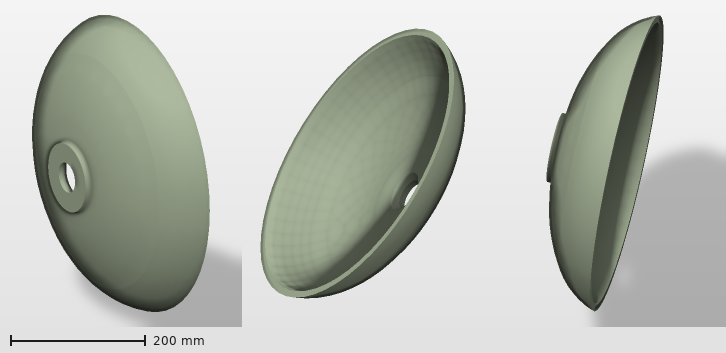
import cadquery as cq
import math

rim_radius = 225.0
bowl_height = 110.0
blend_radius = 178.5
blend_height = 50.0
side_arc_radius = 118.0
bottom_arc_radius = 250.0
wall_thickness = 10.0
foot_radius = 52.5
foot_fillet = 5.0
drain_radius = 23.0
drain_bore_length = 10.0


def side_arc_center():
    """Centre (radius, height) of the side arc through the blend point and the rim."""
    chord_r = rim_radius - blend_radius
    chord_y = bowl_height - blend_height
    chord = math.hypot(chord_r, chord_y)
    sagitta_leg = math.sqrt(side_arc_radius**2 - (chord / 2) ** 2)
    center_r = (rim_radius + blend_radius) / 2 - sagitta_leg * chord_y / chord
    center_y = (bowl_height + blend_height) / 2 + sagitta_leg * chord_r / chord
    return center_r, center_y


side_r, side_y = side_arc_center()

normal_r = (blend_radius - side_r) / side_arc_radius
normal_y = (blend_height - side_y) / side_arc_radius
bottom_r = blend_radius - bottom_arc_radius * normal_r
bottom_y = blend_height - bottom_arc_radius * normal_y
inner_floor = bottom_y - bottom_arc_radius + wall_thickness


def arc_height(center_r, center_y, radius, r):
    """Height of the lower half of an arc at distance r from the axis."""
    return center_y - math.sqrt(radius**2 - (r - center_r) ** 2)


def midpoint_on_arc(center_r, center_y, radius, start, end):
    """Point halfway along the short arc between two points."""
    direction_r = (start[0] + end[0]) / 2 - center_r
    direction_y = (start[1] + end[1]) / 2 - center_y
    scale = radius / math.hypot(direction_r, direction_y)
    return center_r + direction_r * scale, center_y + direction_y * scale


def bowl_section(offset):
    """Filled half section from the axis to the bowl surface moved inward by offset."""
    bottom_radius = bottom_arc_radius - offset
    side_radius = side_arc_radius - offset
    lowest = (bottom_r, bottom_y - bottom_radius)
    blend = (blend_radius - offset * normal_r, blend_height - offset * normal_y)
    rim_offset = math.sqrt(side_radius**2 - (bowl_height - side_y) ** 2)
    rim = (side_r + rim_offset, bowl_height)
    return (
        cq.Workplane("XY")
        .moveTo(0, lowest[1])
        .lineTo(*lowest)
        .threePointArc(midpoint_on_arc(bottom_r, bottom_y, bottom_radius, lowest, blend), blend)
        .threePointArc(midpoint_on_arc(side_r, side_y, side_radius, blend, rim), rim)
        .lineTo(0, bowl_height)
        .close()
    )


def revolve_about_y(section):
    """Solid of revolution of a half section about the bowl axis."""
    return section.revolve(360, (0, 0, 0), (0, 1, 0))


def foot():
    """Round foot with a concave fillet running out to the underside of the bowl."""
    fillet_r = foot_radius + foot_fillet
    center_gap = bottom_arc_radius + foot_fillet
    fillet_y = arc_height(bottom_r, bottom_y, center_gap, fillet_r)
    touch_share = bottom_arc_radius / center_gap
    touch = (
        bottom_r + (fillet_r - bottom_r) * touch_share,
        bottom_y + (fillet_y - bottom_y) * touch_share,
    )
    fillet_start = (foot_radius, fillet_y)
    fillet_mid = midpoint_on_arc(fillet_r, fillet_y, foot_fillet, fillet_start, touch)
    section = (
        cq.Workplane("XY")
        .lineTo(foot_radius, 0)
        .lineTo(*fillet_start)
        .threePointArc(fillet_mid, touch)
        .lineTo(bottom_r, inner_floor)
        .lineTo(0, inner_floor)
        .close()
    )
    return revolve_about_y(section)


def drain_hole():
    """Straight drain bore that opens as a 45 degree countersink into the floor of the cavity."""
    countersink_radius = drain_radius + inner_floor - drain_bore_length
    section = (
        cq.Workplane("XY")
        .lineTo(drain_radius, 0)
        .lineTo(drain_radius, drain_bore_length)
        .lineTo(countersink_radius, inner_floor)
        .lineTo(0, inner_floor)
        .close()
    )
    return revolve_about_y(section)


outer = revolve_about_y(bowl_section(0))
cavity = revolve_about_y(bowl_section(wall_thickness))
result = outer.union(foot()).cut(cavity).cut(drain_hole())